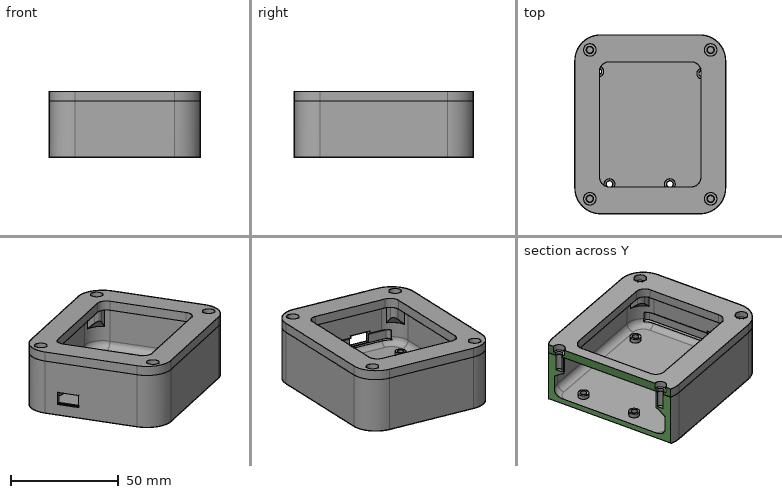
import cadquery as cq

LENGTH_X = 70.0
LENGTH_Y = 83.0
HEIGHT = 30.5
LID_THICKNESS = 4.5
BASE_HEIGHT = HEIGHT - LID_THICKNESS
CORNER_RADIUS = 12.0

WALL = 3.0
FLOOR = 3.0
FLOOR_FILLET = 3.5
CAVITY_X = LENGTH_X - 2 * WALL
CAVITY_Y = LENGTH_Y - 2 * WALL
CAVITY_RADIUS = CORNER_RADIUS - WALL

SCREW_INSET = 7.0
SCREW_X = LENGTH_X / 2 - SCREW_INSET
SCREW_Y = LENGTH_Y / 2 - SCREW_INSET
PILOT_DIAMETER = 3.0
PILOT_DEPTH = 8.0
POST_RADIUS = 2.5
POST_FOOT_Z = 13.65

SCREW_CLEARANCE_DIAMETER = 3.4
HEAD_DIAMETER = 5.8
HEAD_DEPTH = 3.0
WINDOW_X = 47.0
WINDOW_Y = 58.0
WINDOW_RADIUS = 4.5

STANDOFF_DIAMETER = 5.0
STANDOFF_HOLE_DIAMETER = 3.0
BOARD_Z = 5.0
STANDOFF_POSITIONS = [(-24.1, 24.5), (24.1, 23.5), (-18.9, -27.7), (9.1, -27.7)]

RECESS_X = 55.5
RECESS_DEPTH = 1.25
RECESS_HEIGHT = 5.1
RECESS_RADIUS = 1.5
RECESS_TOP_RADIUS = 1.0

PORT_CENTER_X = 11.6
PORT_WIDTH = 10.5
PORT_BOTTOM_Z = 5.3
PORT_TOP_Z = 11.3


def rounded_block(size_x, size_y, height, radius, bottom_z):
    """Block centred on the Z axis, with rounded vertical edges."""
    block = cq.Workplane("XY").workplane(offset=bottom_z).rect(size_x, size_y).extrude(height)
    return block.edges("|Z").fillet(radius)


def at_corners(shape):
    """Copies of a shape in the +X +Y corner, mirrored into all four corners."""
    pair = shape.union(shape.mirror("YZ"))
    return pair.union(pair.mirror("XZ"))


def corner_post():
    """Screw post in the +X +Y corner, carried on the wall by a 45 degree conical underside."""
    inner_x = SCREW_X - POST_RADIUS
    inner_y = SCREW_Y - POST_RADIUS
    outer_x = LENGTH_X / 2
    outer_y = LENGTH_Y / 2
    post = (
        cq.Workplane("XY")
        .box(outer_x - inner_x, outer_y - inner_y, BASE_HEIGHT, centered=False)
        .translate((inner_x, inner_y, 0))
        .edges("|Z and <X and <Y")
        .fillet(POST_RADIUS)
    )
    apex_z = POST_FOOT_Z + CAVITY_RADIUS
    cone = cq.Workplane(cq.Solid.makeCone(apex_z, 0, apex_z)).translate(
        (CAVITY_X / 2 - CAVITY_RADIUS, CAVITY_Y / 2 - CAVITY_RADIUS, 0)
    )
    return post.cut(cone)


def make_cavity():
    """Space inside the housing, with a rounded floor edge and without the corner posts."""
    cavity = rounded_block(CAVITY_X, CAVITY_Y, BASE_HEIGHT - FLOOR, CAVITY_RADIUS, FLOOR)
    cavity = cavity.faces("<Z").edges().fillet(FLOOR_FILLET)
    return cavity.cut(at_corners(corner_post()))


def make_board_recess():
    """Shallow pocket in the +Y wall that takes the end of the board."""
    back_y = CAVITY_Y / 2 + RECESS_DEPTH
    front_y = CAVITY_Y / 2 - CAVITY_RADIUS
    recess = (
        cq.Workplane("XY")
        .box(RECESS_X, back_y - front_y, RECESS_HEIGHT, centered=(True, False, False))
        .translate((0, front_y, BOARD_Z))
    )
    recess = recess.edges("|Z and >Y").fillet(RECESS_RADIUS)
    return recess.edges("|Y and >Z").fillet(RECESS_TOP_RADIUS)


def make_port():
    """Rectangular connector opening through the +Y wall."""
    front_y = CAVITY_Y / 2
    return (
        cq.Workplane("XY")
        .box(PORT_WIDTH, WALL, PORT_TOP_Z - PORT_BOTTOM_Z, centered=(True, False, False))
        .translate((PORT_CENTER_X, front_y, PORT_BOTTOM_Z))
    )


def make_housing():
    housing = rounded_block(LENGTH_X, LENGTH_Y, BASE_HEIGHT, CORNER_RADIUS, 0)
    housing = housing.cut(make_cavity())
    housing = housing.cut(make_board_recess())
    housing = housing.cut(make_port())

    standoffs = (
        cq.Workplane("XY").pushPoints(STANDOFF_POSITIONS).circle(STANDOFF_DIAMETER / 2).extrude(BOARD_Z)
    )
    standoff_holes = (
        cq.Workplane("XY").pushPoints(STANDOFF_POSITIONS).circle(STANDOFF_HOLE_DIAMETER / 2).extrude(BOARD_Z)
    )
    housing = housing.union(standoffs).cut(standoff_holes)

    pilot = (
        cq.Workplane("XY")
        .workplane(offset=BASE_HEIGHT - PILOT_DEPTH)
        .center(SCREW_X, SCREW_Y)
        .circle(PILOT_DIAMETER / 2)
        .extrude(PILOT_DEPTH)
    )
    return housing.cut(at_corners(pilot))


def make_lid():
    lid = rounded_block(LENGTH_X, LENGTH_Y, LID_THICKNESS, CORNER_RADIUS, BASE_HEIGHT)
    lid = lid.cut(rounded_block(WINDOW_X, WINDOW_Y, LID_THICKNESS, WINDOW_RADIUS, BASE_HEIGHT))
    return (
        lid.faces(">Z")
        .workplane(origin=(0, 0, HEIGHT))
        .rect(2 * SCREW_X, 2 * SCREW_Y, forConstruction=True)
        .vertices()
        .cboreHole(SCREW_CLEARANCE_DIAMETER, HEAD_DIAMETER, HEAD_DEPTH)
    )


housing = make_housing()
lid = make_lid()

result = cq.Compound.makeCompound([housing.val(), lid.val()])